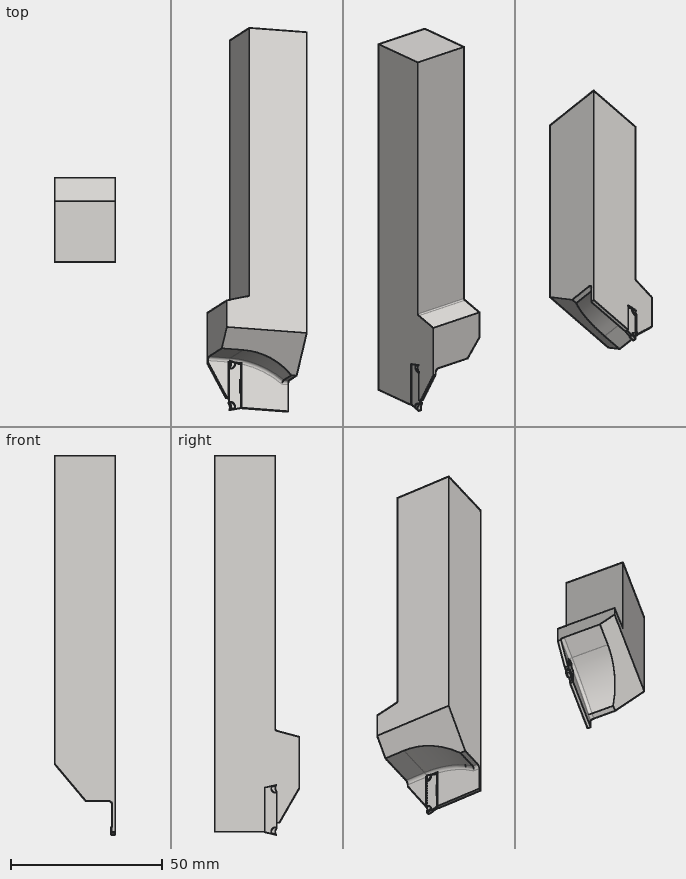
import cadquery as cq
import math

shank_width = 20.0
total_length = 125.0
head_depth = 27.9
head_top_z = 32.4
head_slope = 15.0
head_corner_radius = 0.5

blade_thickness = 1.1
blade_bottom_z = 1.0
blade_root_radius = 1.1
jaw_corner_z = 15.4
jaw_angle = 60.0
jaw_tip_z = 4.0

underside_z = 17.3
underside_arc_radius = 31.9
underside_arc_start_y = 20.6
underside_arc_end_y = 1.9
bevel_top_z = 23.4
bevel_angle = 50.0

insert_length = 16.5
insert_back_y = 16.5
insert_front_y = 20.5
cutting_edge_y = 20.3
heel_z = 0.9
rake_top_z = 2.4
chip_former_depth = 0.3
insert_head_width = 1.5
head_side_step = 0.4
insert_head_radius = 1.6
insert_head_offset = 1.0
insert_nose_chamfer = 0.3
notch_length = 4.4
notch_depth = 0.3

seat_chamfer = 0.4

blade_x = shank_width - blade_thickness
insert_middle_z = insert_length / 2
arc_drop = underside_arc_radius - math.sqrt(
    underside_arc_radius**2 - (underside_arc_start_y - underside_arc_end_y) ** 2
)
lowest_underside_z = underside_z - arc_drop


def extrude_along_x(outline, x_start, x_end):
    """Turn an outline drawn in (Y, Z) into a solid between two X positions."""
    return outline.extrude(x_end - x_start).translate((x_start, 0, 0))


def side_blank():
    """Holder outline seen along X: shank, head, slanted jaw and blade."""
    head_rise = (head_depth - shank_width) * math.tan(math.radians(head_slope))
    jaw_run = (jaw_corner_z - jaw_tip_z) / math.tan(math.radians(jaw_angle))
    outline = (
        cq.Workplane("YZ")
        .moveTo(0, blade_bottom_z)
        .lineTo(0, total_length)
        .lineTo(shank_width, total_length)
        .lineTo(shank_width, head_top_z + head_rise)
        .lineTo(head_depth, head_top_z)
        .lineTo(head_depth, jaw_corner_z)
        .lineTo(head_depth - jaw_run, jaw_tip_z)
        .lineTo(insert_back_y, jaw_tip_z)
        .lineTo(insert_back_y, blade_bottom_z)
        .close()
    )
    blank = extrude_along_x(outline, 0, shank_width)
    corner = cq.selectors.NearestToPointSelector((shank_width / 2, shank_width, head_top_z + head_rise))
    return blank.edges(corner).fillet(head_corner_radius)


def underside_cut():
    """Space below the head beside the blade, rounded where the blade meets the head."""
    mid_y = (underside_arc_start_y + underside_arc_end_y) / 2
    mid_drop = underside_arc_radius - math.sqrt(
        underside_arc_radius**2 - (underside_arc_start_y - mid_y) ** 2
    )
    margin = 1.3
    outline = (
        cq.Workplane("YZ")
        .moveTo(-margin, -margin)
        .lineTo(-margin, lowest_underside_z)
        .lineTo(underside_arc_end_y, lowest_underside_z)
        .threePointArc((mid_y, underside_z - mid_drop), (underside_arc_start_y, underside_z))
        .lineTo(head_depth + margin, underside_z)
        .lineTo(head_depth + margin, -margin)
        .close()
    )
    cut = extrude_along_x(outline, -margin, blade_x)
    roof_edges = cut.faces(">X").edges("not(|Z or <Z)")
    return roof_edges.fillet(blade_root_radius)


def bevel_cut():
    """Wedge that bevels the lower end of the head on the -X side."""
    bevel_run = bevel_top_z / math.tan(math.radians(bevel_angle))
    return (
        cq.Workplane("XZ")
        .polyline([(0, 0), (0, bevel_top_z), (bevel_run, 0)])
        .close()
        .extrude(-head_depth)
    )


def insert_outline():
    """Insert outline seen along X, with a concave chip former at each end."""
    former_y = cutting_edge_y - chip_former_depth
    former_z = rake_top_z / 2
    return (
        cq.Workplane("YZ")
        .moveTo(cutting_edge_y, 0)
        .threePointArc((former_y, former_z), (insert_front_y, rake_top_z))
        .lineTo(insert_front_y, insert_length - rake_top_z)
        .threePointArc((former_y, insert_length - former_z), (cutting_edge_y, insert_length))
        .lineTo(insert_back_y, insert_length - heel_z)
        .lineTo(insert_back_y, heel_z)
        .close()
    )


def seat_cut():
    """Slot through the blade that fits the insert, its mouth flared at both long edges."""
    slot = extrude_along_x(insert_outline(), shank_width - insert_head_width, shank_width)
    flare_end_x = blade_x + seat_chamfer
    flare = (
        cq.Workplane("XY")
        .moveTo(blade_x, insert_back_y - seat_chamfer)
        .lineTo(flare_end_x, insert_back_y)
        .lineTo(flare_end_x, insert_front_y)
        .lineTo(blade_x, insert_front_y + seat_chamfer)
        .close()
        .extrude(underside_z - blade_root_radius)
    )
    return slot.union(flare)


def make_holder():
    return side_blank().cut(bevel_cut()).cut(underside_cut()).cut(seat_cut())


def insert_head(center_z, flank):
    """Full-width cutting head at one end; the flank faces the given Z direction."""
    side_x = shank_width - insert_head_width
    blank = extrude_along_x(insert_outline(), side_x, shank_width)
    reach = cq.Workplane("YZ").center(cutting_edge_y, center_z).circle(insert_head_radius)
    head = blank.intersect(extrude_along_x(reach, side_x, shank_width))
    return head.faces(flank).edges("<X or >X").chamfer(insert_nose_chamfer)


def make_insert():
    body_x = shank_width - insert_head_width + head_side_step
    body = extrude_along_x(insert_outline(), body_x, shank_width - head_side_step)

    notch = (
        cq.Workplane("XY")
        .box(notch_depth, notch_depth, notch_length, centered=(False, False, True))
        .translate((body_x, insert_back_y, insert_middle_z))
    )
    lower_head = insert_head(insert_head_offset, "<Z")
    upper_head = insert_head(insert_length - insert_head_offset, ">Z")
    return body.cut(notch).union(lower_head).union(upper_head)


holder = make_holder()
insert = make_insert()

result = cq.Compound.makeCompound([holder.val(), insert.val()])